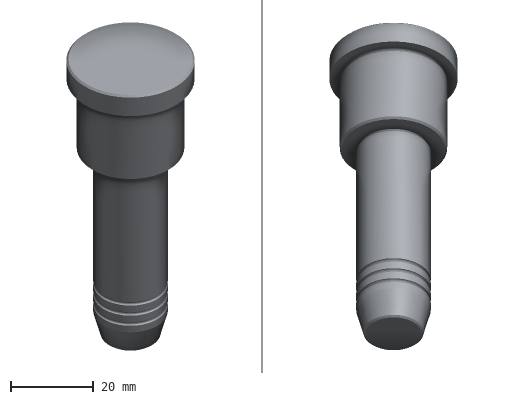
import cadquery as cq

total_length = 82.0
head_diameter = 31.0
body_diameter = 26.0
shank_diameter = 18.0
tip_diameter = 14.5

head_height = 6.0
shoulder_depth = 27.0
tip_length = 7.05

edge_chamfer = 0.5
tip_chamfer_height = 0.4
neck_height = 1.0
neck_depth = 0.5

groove_count = 3
groove_radius = 0.5
groove_pitch = 6 * groove_radius
first_groove_z = 9.5

head_bottom_z = total_length - head_height
body_bottom_z = total_length - shoulder_depth


def cylinder(diameter, bottom_z, top_z):
    """Solid cylinder on the Z axis between two heights."""
    return cq.Workplane("XY").workplane(offset=bottom_z).circle(diameter / 2).extrude(top_z - bottom_z)


def make_head():
    head = cylinder(head_diameter, head_bottom_z, total_length)
    return head.faces(">Z").edges().chamfer(edge_chamfer)


def make_body():
    """Fitting cylinder with a chamfered lower edge."""
    body = cylinder(body_diameter, body_bottom_z, head_bottom_z)
    return body.faces("<Z").edges().chamfer(edge_chamfer)


def make_shank():
    """Guide cylinder with a neck under the body and a tapered, chamfered tip."""
    neck_bottom_z = body_bottom_z - neck_height
    neck = cylinder(shank_diameter - 2 * neck_depth, neck_bottom_z, body_bottom_z)
    shank = cylinder(shank_diameter, tip_length, neck_bottom_z)
    tip = (
        cq.Workplane("XZ")
        .lineTo(tip_diameter / 2 - edge_chamfer, 0)
        .lineTo(tip_diameter / 2, tip_chamfer_height)
        .lineTo(shank_diameter / 2, tip_length)
        .lineTo(0, tip_length)
        .close()
        .revolve(360, (0, 0), (0, 1))
    )
    return shank.union(neck).union(tip)


def make_ring_groove(diameter, center_z):
    """Ring that cuts a semicircular groove into a cylinder of the given diameter."""
    return (
        cq.Workplane("XZ")
        .center(diameter / 2, center_z)
        .circle(groove_radius)
        .revolve(360, (-diameter / 2, 0), (-diameter / 2, 1))
    )


body = make_body().cut(make_ring_groove(body_diameter, head_bottom_z - groove_radius))

shank = make_shank()
for index in range(groove_count):
    shank = shank.cut(make_ring_groove(shank_diameter, first_groove_z + index * groove_pitch))

result = make_head().union(body).union(shank)